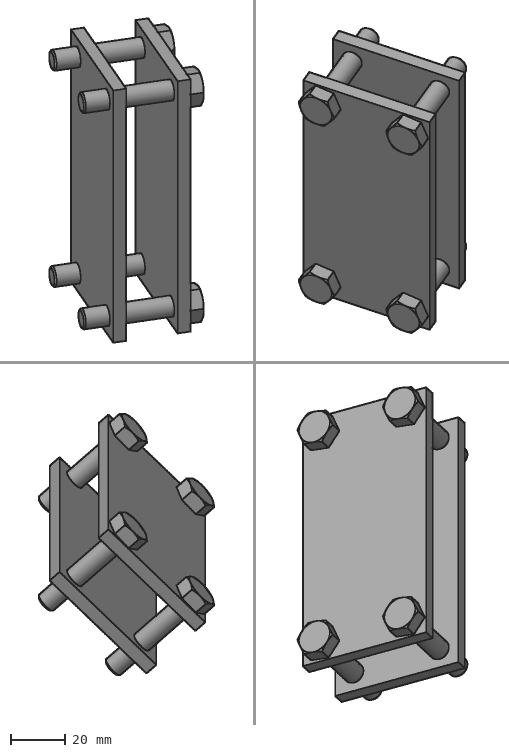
import cadquery as cq
import math


plate_width = 52.0
plate_height = 105.0
plate_thickness = 5.0
plate_pitch = 25.0

bolt_spacing_x = 36.0
bolt_spacing_z = 90.0
shank_diameter = 8.0
tip_chamfer = 0.6
head_height = 5.7
head_across_flats = 13.0
head_turn = 7.2
head_bevel_angle = 30.0
overall_depth = 45.7

back_plate_y = plate_pitch
head_seat_y = back_plate_y + plate_thickness
shank_length = overall_depth - head_height

head_corner_radius = head_across_flats / math.sqrt(3)
head_bevel_height = (head_corner_radius - head_across_flats / 2) * math.tan(math.radians(head_bevel_angle))

bolt_centers = [
    (side_x * bolt_spacing_x / 2, side_z * bolt_spacing_z / 2)
    for side_x in (-1, 1)
    for side_z in (-1, 1)
]


def make_plate(front_y):
    """Rectangular plate with four bolt holes, its -Y face at front_y."""
    return (
        cq.Workplane("XZ", origin=(0, front_y, 0))
        .rect(plate_width, plate_height)
        .pushPoints(bolt_centers)
        .circle(shank_diameter / 2)
        .extrude(-plate_thickness)
    )


def make_head():
    """Hexagon head seated on Y = 0, with its corners bevelled at the outer end."""
    hexagon = (
        cq.Workplane("XZ")
        .polygon(6, 2 * head_corner_radius)
        .extrude(-head_height)
        .rotate((0, 0, 0), (0, 1, 0), -head_turn)
    )
    bevelled_blank = (
        cq.Workplane("XY")
        .polyline([
            (0, 0),
            (head_corner_radius, 0),
            (head_corner_radius, head_height - head_bevel_height),
            (head_across_flats / 2, head_height),
            (0, head_height),
        ])
        .close()
        .revolve(360, (0, 0, 0), (0, 1, 0))
    )
    return hexagon.intersect(bevelled_blank)


def make_bolt(center_x, center_z):
    """Bolt with its head on the back plate and its chamfered tip toward -Y."""
    shank = (
        cq.Workplane("XZ")
        .circle(shank_diameter / 2)
        .extrude(shank_length)
        .faces("<Y")
        .chamfer(tip_chamfer)
    )
    return shank.union(make_head()).translate((center_x, head_seat_y, center_z))


front_plate = make_plate(0)
back_plate = make_plate(back_plate_y)
bolts = [make_bolt(center_x, center_z) for center_x, center_z in bolt_centers]

result = cq.Compound.makeCompound([
    front_plate.val(),
    back_plate.val(),
    *[bolt.val() for bolt in bolts],
])